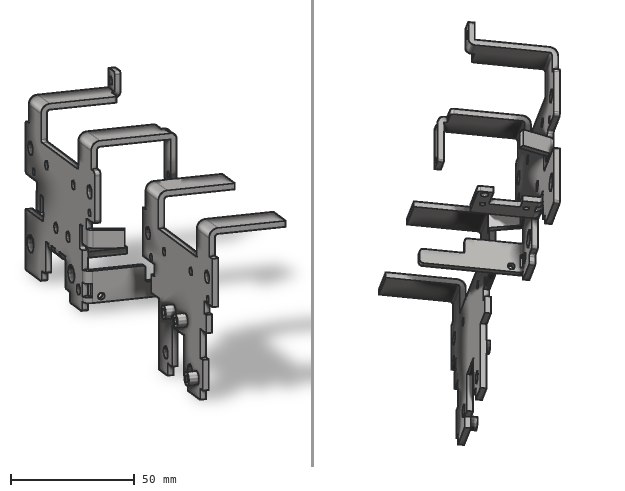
import cadquery as cq
import math

OVERALL_X = 215.0
SHEET = 2.5
BEND = 3.9
TOP_Z = 74.8
ARM_END_Y = 33.1
ARM_BOTTOM_Z = 59.1
WING_TOP_Z = 63.2
ARM_FOOT_Z = TOP_Z - BEND
THROUGH = 3 * SHEET

CLIP_WIDTH = 79.8
CLIP_BOTTOM_Z = 0.5
CLIP_ARM_LEFT = (3.9, 18.0)
CLIP_ARM_RIGHT = (60.8, 75.7)
CLIP_WING_BOTTOM_Z = 41.0
CLIP_NECK_X = (13.3, 69.9)
TAB_Z = (29.0, 36.5)
TAB_INNER_X = (17.5, 65.4)
TAB_BEND_X = (13.1, 70.3)
TAB_BEND_RADIUS = 2.5
TAB_ANGLE = 70.0
TAB_LENGTH = 13.1
SLOT_INNER_X = (20.6, 62.4)
FOOT_TOP_Z = 26.2
FOOT_RIGHT_X = 65.4
FOOT_STEP_Z = 5.0
FOOT_STEP_X = (18.7, 51.2)
CUTOUT_X = (23.2, 46.0)
CUTOUT_TOP_Z = 18.5

CLIP_WING_ROUND = 1.7
CLIP_CORNER_ROUND = 1.0

EAR_INNER_Y = 34.5
UP_EAR_X = (CLIP_ARM_LEFT[0], 11.2)
UP_EAR_TIP_Z = 83.2
UP_EAR_ROUND = 1.0
UP_EAR_HOLE = (6.7, 78.3)
UP_EAR_HOLE_DIAMETER = 3.5
DOWN_EAR_X = (68.0, CLIP_ARM_RIGHT[1])
DOWN_EAR_TIP_Z = 54.0
DOWN_EAR_ROUND = 0.9
DOWN_EAR_HOLE = (72.7, 56.8)
DOWN_EAR_HOLE_DIAMETER = 2.4
EAR_WINDOW_X = (69.9, 73.7)
EAR_WINDOW_BOTTOM_Z = 71.8
ARM_TIP_ROUND = 1.3

SHELF_X = (26.0, 39.0)
SHELF_LEFT_X = 21.5
SHELF_END_Y = 29.7
SHELF_ARM_Y = 23.2
SHELF_NECK_X = 31.0
SHELF_ROOT_Y = 10.3
SHELF_ROUND = 1.0
SHELF_WINDOW_X = (29.9, 33.5)
SHELF_PIN_HOLES = [(31.5, 25.8), (31.5, 7.7)]
SHELF_PIN_DIAMETER = 2.4
SHELF_END_HOLE = (23.9, 26.5)
SHELF_END_DIAMETER = 3.2

FINGER_BEND = 3.2
FINGER_Z = (4.5, 18.0)
FINGER_TIP_TOP_Z = 11.2
FINGER_STEP_Y = 26.2
FINGER_END_Y = 45.0
FINGER_TIP_ROUND = 1.7
FINGER_STEP_ROUND = 1.0
FINGER_WINDOW_Z = (6.9, 12.7)
FINGER_HOLE = (7.0, 7.0)
FINGER_HOLE_DIAMETER = 2.8

CLIP_HOLES = [
    (5.5, [(5.8, 53.0), (73.7, 53.0)]),
    (3.7, [(24.3, 51.0), (55.0, 51.0)]),
    (2.8, [(9.7, 44.3), (73.7, 44.3)]),
    (4.3, [(35.0, 27.5), (49.0, 27.5), (61.0, 8.5)]),
    (7.3, [(5.8, 13.0), (52.7, 13.0)]),
]

BOSS_WIDTH = 80.2
BOSS_LEFT_X = OVERALL_X - BOSS_WIDTH
BOSS_ARM_LEFT = (138.0, 152.9)
BOSS_ARM_RIGHT = (197.0, 211.1)
BOSS_WING_BOTTOM_Z = 42.8
BOSS_NECK_X = (148.0, 205.3)
LUG_X = (144.5, 208.0)
LUG_Z = (29.9, 37.6)
LEG_X = (153.5, 200.8)
LEG_CUTOUT_X = (168.5, 181.9)
LEG_CUTOUT_TOP_Z = 22.1
LEG_STEP_X = (163.5, 186.6)
LEG_STEP_Z = 5.2
SIDE_PAD_X = 204.0
SIDE_PAD_Z = (4.7, 17.6)

BOSS_CENTRES = [(170.3, 29.0), (183.8, 29.0), (196.7, 8.2)]
BOSS_DIAMETER = 5.5
BOSS_HOLE_DIAMETER = 2.8
BOSS_HEIGHT = 4.3

BOSS_HOLES = [
    (5.2, [(140.8, 54.0), (208.8, 54.0), (161.2, 9.2), (189.2, 9.2)]),
    (3.2, [(159.3, 51.2), (190.0, 51.2)]),
    (2.8, [(144.5, 44.7), (209.6, 44.7)]),
]


def span_box(x_range, y_range, z_range):
    """Box filling the three given ranges."""
    low = (x_range[0], y_range[0], z_range[0])
    size = [r[1] - r[0] for r in (x_range, y_range, z_range)]
    return cq.Workplane("XY").box(*size, centered=False).translate(low)


def flat_plate(outline):
    """Upright plate from an (x, z) outline, from y = 0 back to the sheet thickness."""
    return cq.Workplane("XZ").polyline(outline).close().extrude(-SHEET)


def round_corners(body, axis, corners, radius):
    """Fillet the edges that run along an axis through the given (x, y, z) corners."""
    reach = SHEET / 10
    run = "XYZ".index(axis)
    slack = 2 * SHEET
    selector = None
    for corner in corners:
        half = [slack if i == run else reach for i in range(3)]
        low = tuple(c - h for c, h in zip(corner, half))
        high = tuple(c + h for c, h in zip(corner, half))
        near = cq.selectors.BoxSelector(low, high)
        selector = near if selector is None else selector + near
    return body.edges(f"|{axis}").edges(selector).fillet(radius)


def round_plate(body, corners, radius):
    """Fillet corners of an upright plate, given as (x, z)."""
    return round_corners(body, "Y", [(x, SHEET / 2, z) for x, z in corners], radius)


def drill_upright(body, centres, diameter, face_y=0.0):
    """Drill (x, z) holes along Y through a sheet whose front face is at face_y."""
    start = face_y - SHEET
    drills = (
        cq.Workplane("XZ", origin=(0, start, 0))
        .pushPoints(centres)
        .circle(diameter / 2)
        .extrude(-THROUGH)
    )
    return body.cut(drills)


def arc_point(centre, radius, degrees):
    """Point on a circle at the given angle."""
    angle = math.radians(degrees)
    return (centre[0] + radius * math.cos(angle), centre[1] + radius * math.sin(angle))


def arm(x_range):
    """Arm that bends back from the plate and runs level to its free end."""
    centre = (BEND, ARM_FOOT_Z)
    inner = BEND - SHEET
    return (
        cq.Workplane("YZ", origin=(x_range[0], 0, 0))
        .moveTo(0, ARM_FOOT_Z)
        .threePointArc(arc_point(centre, BEND, 135), (BEND, TOP_Z))
        .lineTo(ARM_END_Y, TOP_Z)
        .lineTo(ARM_END_Y, TOP_Z - SHEET)
        .lineTo(BEND, TOP_Z - SHEET)
        .threePointArc(arc_point(centre, inner, 135), (SHEET, ARM_FOOT_Z))
        .close()
        .extrude(x_range[1] - x_range[0])
    )


def clip_plate():
    """Flat plate of the clip bracket with rounded corners and holes."""
    arm_l, arm_r = CLIP_ARM_LEFT, CLIP_ARM_RIGHT
    wing_corners = [
        (0, WING_TOP_Z), (CLIP_WIDTH, WING_TOP_Z),
        (0, CLIP_WING_BOTTOM_Z), (CLIP_WIDTH, CLIP_WING_BOTTOM_Z),
    ]
    small_corners = [
        (CLIP_NECK_X[0], CLIP_WING_BOTTOM_Z), (CLIP_NECK_X[1], CLIP_WING_BOTTOM_Z),
        (SLOT_INNER_X[0], TAB_Z[1]), (SLOT_INNER_X[0], FOOT_TOP_Z),
        (SLOT_INNER_X[1], TAB_Z[1]), (SLOT_INNER_X[1], FOOT_TOP_Z),
        (arm_l[1], ARM_BOTTOM_Z), (arm_r[0], ARM_BOTTOM_Z),
        (0, FOOT_TOP_Z), (0, CLIP_BOTTOM_Z),
        (FOOT_STEP_X[0], CLIP_BOTTOM_Z), (FOOT_STEP_X[1], CLIP_BOTTOM_Z),
        (FOOT_STEP_X[0], FOOT_STEP_Z), (FOOT_STEP_X[1], FOOT_STEP_Z),
        (CUTOUT_X[0], FOOT_STEP_Z), (CUTOUT_X[1], FOOT_STEP_Z),
        (FOOT_RIGHT_X, CLIP_BOTTOM_Z),
    ]
    plate = flat_plate([
        (0, WING_TOP_Z), (arm_l[0], WING_TOP_Z), (arm_l[0], ARM_FOOT_Z), (arm_l[1], ARM_FOOT_Z),
        (arm_l[1], ARM_BOTTOM_Z), (arm_r[0], ARM_BOTTOM_Z),
        (arm_r[0], ARM_FOOT_Z), (arm_r[1], ARM_FOOT_Z), (arm_r[1], WING_TOP_Z), (CLIP_WIDTH, WING_TOP_Z),
        (CLIP_WIDTH, CLIP_WING_BOTTOM_Z), (CLIP_NECK_X[1], CLIP_WING_BOTTOM_Z),
        (CLIP_NECK_X[1], TAB_Z[1]),
        (SLOT_INNER_X[1], TAB_Z[1]), (SLOT_INNER_X[1], FOOT_TOP_Z),
        (FOOT_RIGHT_X, FOOT_TOP_Z), (FOOT_RIGHT_X, CLIP_BOTTOM_Z),
        (FOOT_STEP_X[1], CLIP_BOTTOM_Z), (FOOT_STEP_X[1], FOOT_STEP_Z),
        (CUTOUT_X[1], FOOT_STEP_Z), (CUTOUT_X[1], CUTOUT_TOP_Z),
        (CUTOUT_X[0], CUTOUT_TOP_Z), (CUTOUT_X[0], FOOT_STEP_Z),
        (FOOT_STEP_X[0], FOOT_STEP_Z), (FOOT_STEP_X[0], CLIP_BOTTOM_Z),
        (0, CLIP_BOTTOM_Z), (0, FOOT_TOP_Z),
        (SLOT_INNER_X[0], FOOT_TOP_Z), (SLOT_INNER_X[0], TAB_Z[1]),
        (CLIP_NECK_X[0], TAB_Z[1]), (CLIP_NECK_X[0], CLIP_WING_BOTTOM_Z),
        (0, CLIP_WING_BOTTOM_Z),
    ])
    plate = round_plate(plate, wing_corners, CLIP_WING_ROUND)
    plate = round_plate(plate, small_corners, CLIP_CORNER_ROUND)
    for diameter, centres in CLIP_HOLES:
        plate = drill_upright(plate, centres, diameter)
    return plate


def side_tab(inner_x, bend_x):
    """Side tab: flat beside the slot, then bent back and splayed outwards."""
    side = 1 if bend_x > inner_x else -1
    angle = math.radians(TAB_ANGLE)
    along = (side * math.cos(angle), math.sin(angle))
    inward = (-side * math.sin(angle), math.cos(angle))
    centre = (bend_x, TAB_BEND_RADIUS)

    def bend_point(turn):
        return (
            centre[0] + side * TAB_BEND_RADIUS * math.sin(turn),
            centre[1] - TAB_BEND_RADIUS * math.cos(turn),
        )

    bend_end = bend_point(angle)
    tip_outer = tuple(p + TAB_LENGTH * a for p, a in zip(bend_end, along))
    tip_inner = tuple(p + SHEET * n for p, n in zip(tip_outer, inward))
    return (
        cq.Workplane("XY", origin=(0, 0, TAB_Z[0]))
        .moveTo(inner_x, 0)
        .lineTo(bend_x, 0)
        .threePointArc(bend_point(angle / 2), bend_end)
        .lineTo(*tip_outer)
        .lineTo(*tip_inner)
        .lineTo(*centre)
        .lineTo(inner_x, SHEET)
        .close()
        .extrude(TAB_Z[1] - TAB_Z[0])
    )


def ear(x_range, tip_z, tip_round, hole, hole_diameter):
    """Ear folded up or down from the end of an arm, towards tip_z."""
    goes_up = tip_z > TOP_Z
    pivot_z = TOP_Z if goes_up else TOP_Z - SHEET
    outer_z = TOP_Z - SHEET if goes_up else TOP_Z
    outer_y = EAR_INNER_Y + SHEET
    mid_bend = arc_point((EAR_INNER_Y, pivot_z), SHEET, -45 if goes_up else 45)
    body = (
        cq.Workplane("YZ", origin=(x_range[0], 0, 0))
        .moveTo(ARM_END_Y, outer_z)
        .lineTo(EAR_INNER_Y, outer_z)
        .threePointArc(mid_bend, (outer_y, pivot_z))
        .lineTo(outer_y, tip_z)
        .lineTo(EAR_INNER_Y, tip_z)
        .lineTo(EAR_INNER_Y, pivot_z)
        .lineTo(ARM_END_Y, pivot_z)
        .close()
        .extrude(x_range[1] - x_range[0])
    )
    mid_y = EAR_INNER_Y + SHEET / 2
    body = round_corners(body, "Y", [(x, mid_y, tip_z) for x in x_range], tip_round)
    return drill_upright(body, [hole], hole_diameter, EAR_INNER_Y)


def clip_arm(x_range, inner_x):
    """Arm of the clip bracket with its free inner corner rounded."""
    corner = (inner_x, ARM_END_Y, TOP_Z - SHEET / 2)
    return round_corners(arm(x_range), "Z", [corner], ARM_TIP_ROUND)


def shelf():
    """Horizontal hook-shaped shelf bent back from the top of the foot cutout."""
    bottom_z = CUTOUT_TOP_Z - BEND
    centre = (BEND, CUTOUT_TOP_Z)
    inner = BEND - SHEET
    bend = (
        cq.Workplane("YZ", origin=(SHELF_X[0], 0, 0))
        .moveTo(0, CUTOUT_TOP_Z)
        .threePointArc(arc_point(centre, BEND, 225), (BEND, bottom_z))
        .lineTo(BEND, bottom_z + SHEET)
        .threePointArc(arc_point(centre, inner, 225), (SHEET, CUTOUT_TOP_Z))
        .close()
        .extrude(SHELF_X[1] - SHELF_X[0])
    )
    window = span_box(SHELF_WINDOW_X, (0, BEND), (bottom_z, CUTOUT_TOP_Z))
    flat = (
        cq.Workplane("XY", origin=(0, 0, bottom_z))
        .polyline([
            (SHELF_X[0], BEND), (SHELF_X[1], BEND), (SHELF_X[1], SHELF_END_Y),
            (SHELF_LEFT_X, SHELF_END_Y), (SHELF_LEFT_X, SHELF_ARM_Y),
            (SHELF_NECK_X, SHELF_ARM_Y), (SHELF_NECK_X, SHELF_ROOT_Y), (SHELF_X[0], SHELF_ROOT_Y),
        ])
        .close()
        .extrude(SHEET)
    )
    rounded = [
        (SHELF_X[1], SHELF_END_Y), (SHELF_LEFT_X, SHELF_END_Y), (SHELF_NECK_X, SHELF_ROOT_Y),
    ]
    mid_z = bottom_z + SHEET / 2
    flat = round_corners(flat, "Z", [(x, y, mid_z) for x, y in rounded], SHELF_ROUND)
    for diameter, centres in (
        (SHELF_PIN_DIAMETER, SHELF_PIN_HOLES),
        (SHELF_END_DIAMETER, [SHELF_END_HOLE]),
    ):
        drills = (
            cq.Workplane("XY", origin=(0, 0, bottom_z - SHEET))
            .pushPoints(centres)
            .circle(diameter / 2)
            .extrude(THROUGH)
        )
        flat = flat.cut(drills)
    return flat.union(bend.cut(window))


def finger():
    """Long finger bent back from the right edge of the foot."""
    outer_x = FOOT_RIGHT_X + FINGER_BEND
    inner_x = outer_x - SHEET
    low_z, high_z = FINGER_Z
    centre = (FOOT_RIGHT_X, FINGER_BEND)
    inner = FINGER_BEND - SHEET
    bend = (
        cq.Workplane("XY", origin=(0, 0, low_z))
        .moveTo(FOOT_RIGHT_X, 0)
        .threePointArc(arc_point(centre, FINGER_BEND, -45), (outer_x, FINGER_BEND))
        .lineTo(inner_x, FINGER_BEND)
        .threePointArc(arc_point(centre, inner, -45), (FOOT_RIGHT_X, SHEET))
        .close()
        .extrude(high_z - low_z)
    )
    window = span_box((FOOT_RIGHT_X, outer_x), (0, FINGER_BEND), FINGER_WINDOW_Z)
    blade = (
        cq.Workplane("YZ", origin=(inner_x, 0, 0))
        .polyline([
            (FINGER_BEND, low_z), (FINGER_END_Y, low_z), (FINGER_END_Y, FINGER_TIP_TOP_Z),
            (FINGER_STEP_Y, FINGER_TIP_TOP_Z), (FINGER_STEP_Y, high_z), (FINGER_BEND, high_z),
        ])
        .close()
        .extrude(SHEET)
    )
    mid_x = inner_x + SHEET / 2
    tip = [(mid_x, FINGER_END_Y, z) for z in (low_z, FINGER_TIP_TOP_Z)]
    step = [(mid_x, FINGER_STEP_Y, z) for z in (FINGER_TIP_TOP_Z, high_z)]
    blade = round_corners(blade, "X", tip, FINGER_TIP_ROUND)
    blade = round_corners(blade, "X", step, FINGER_STEP_ROUND)
    drill = (
        cq.Workplane("YZ", origin=(inner_x - SHEET, 0, 0))
        .center(*FINGER_HOLE)
        .circle(FINGER_HOLE_DIAMETER / 2)
        .extrude(THROUGH)
    )
    return blade.cut(drill).union(bend.cut(window))


def build_clip_bracket():
    up_ear = ear(UP_EAR_X, UP_EAR_TIP_Z, UP_EAR_ROUND, UP_EAR_HOLE, UP_EAR_HOLE_DIAMETER)
    down_ear = ear(DOWN_EAR_X, DOWN_EAR_TIP_Z, DOWN_EAR_ROUND, DOWN_EAR_HOLE, DOWN_EAR_HOLE_DIAMETER)
    ear_window = span_box(EAR_WINDOW_X, (EAR_INNER_Y, EAR_INNER_Y + SHEET), (EAR_WINDOW_BOTTOM_Z, TOP_Z))
    features = [
        clip_arm(CLIP_ARM_LEFT, CLIP_ARM_LEFT[1]),
        clip_arm(CLIP_ARM_RIGHT, CLIP_ARM_RIGHT[0]),
        up_ear,
        down_ear.cut(ear_window),
        shelf(),
        finger(),
    ]
    features += [side_tab(inner_x, bend_x) for inner_x, bend_x in zip(TAB_INNER_X, TAB_BEND_X)]
    bracket = clip_plate()
    for feature in features:
        bracket = bracket.union(feature)
    return bracket


def boss_plate():
    """Flat plate of the boss bracket with its holes."""
    arm_l, arm_r = BOSS_ARM_LEFT, BOSS_ARM_RIGHT
    plate = flat_plate([
        (BOSS_LEFT_X, WING_TOP_Z), (arm_l[0], WING_TOP_Z), (arm_l[0], ARM_FOOT_Z), (arm_l[1], ARM_FOOT_Z),
        (arm_l[1], ARM_BOTTOM_Z), (arm_r[0], ARM_BOTTOM_Z),
        (arm_r[0], ARM_FOOT_Z), (arm_r[1], ARM_FOOT_Z), (arm_r[1], WING_TOP_Z), (OVERALL_X, WING_TOP_Z),
        (OVERALL_X, BOSS_WING_BOTTOM_Z), (BOSS_NECK_X[1], BOSS_WING_BOTTOM_Z),
        (BOSS_NECK_X[1], LUG_Z[1]), (LUG_X[1], LUG_Z[1]), (LUG_X[1], LUG_Z[0]), (LEG_X[1], LUG_Z[0]),
        (LEG_X[1], SIDE_PAD_Z[1]), (SIDE_PAD_X, SIDE_PAD_Z[1]),
        (SIDE_PAD_X, SIDE_PAD_Z[0]), (LEG_X[1], SIDE_PAD_Z[0]),
        (LEG_X[1], 0), (LEG_STEP_X[1], 0), (LEG_STEP_X[1], LEG_STEP_Z),
        (LEG_CUTOUT_X[1], LEG_STEP_Z), (LEG_CUTOUT_X[1], LEG_CUTOUT_TOP_Z),
        (LEG_CUTOUT_X[0], LEG_CUTOUT_TOP_Z), (LEG_CUTOUT_X[0], LEG_STEP_Z),
        (LEG_STEP_X[0], LEG_STEP_Z), (LEG_STEP_X[0], 0), (LEG_X[0], 0),
        (LEG_X[0], LUG_Z[0]), (LUG_X[0], LUG_Z[0]), (LUG_X[0], LUG_Z[1]),
        (BOSS_NECK_X[0], LUG_Z[1]), (BOSS_NECK_X[0], BOSS_WING_BOTTOM_Z),
        (BOSS_LEFT_X, BOSS_WING_BOTTOM_Z),
    ])
    for diameter, centres in BOSS_HOLES:
        plate = drill_upright(plate, centres, diameter)
    return plate


def bosses():
    """Hollow bosses standing forward of the plate's front face."""
    return (
        cq.Workplane("XZ")
        .pushPoints(BOSS_CENTRES)
        .circle(BOSS_DIAMETER / 2)
        .circle(BOSS_HOLE_DIAMETER / 2)
        .extrude(BOSS_HEIGHT)
    )


def build_boss_bracket():
    bracket = boss_plate()
    for x_range in (BOSS_ARM_LEFT, BOSS_ARM_RIGHT):
        bracket = bracket.union(arm(x_range))
    return bracket.union(bosses())


clip_bracket = build_clip_bracket()
boss_bracket = build_boss_bracket()
result = cq.Compound.makeCompound([clip_bracket.val(), boss_bracket.val()])